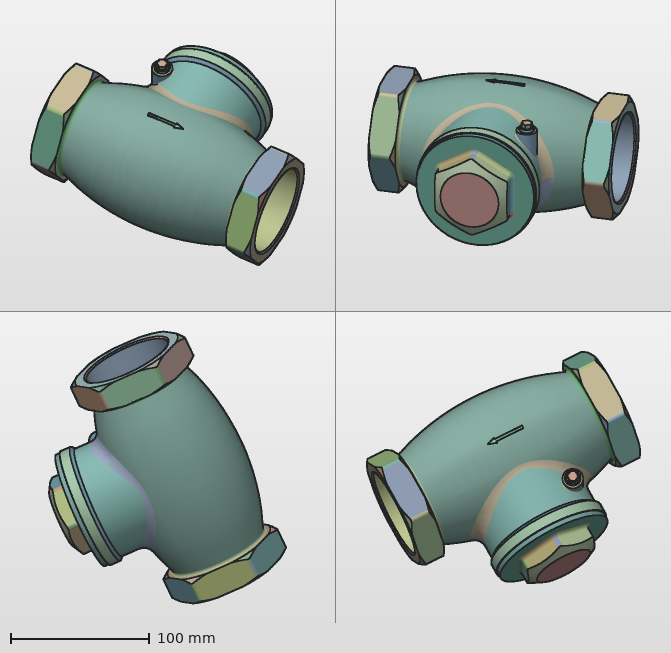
import cadquery as cq
import math

overall_length = 180.0
cap_top_y = 92.9

nut_across_flats = 79.4
nut_width = 20.0
nut_face_diameter = 81.7
nut_corner_radius = 3.0
nut_root_fillet = 1.8
chamfer_angle = 30.0

port_diameter = 65.0
port_mouth_diameter = 67.3
port_depth = 21.0

barrel_radius = 49.3
barrel_end_radius = 35.3
barrel_half_length = overall_length / 2 - nut_width

bonnet_diameter = 85.0
bonnet_blend_radius = 9.5
collar_diameter = 90.0
collar_top_y = 73.8
collar_height = 8.0
collar_chamfer = (collar_diameter - bonnet_diameter) / 2

screw_x = -30.8
screw_y = 48.8
boss_diameter = 15.0
boss_top_z = 39.0
boss_root_fillet = 0.7
washer_diameter = 11.5
washer_top_z = 41.5
washer_edge_bulge = 0.7
screw_head_across_corners = 8.1
screw_head_top_z = 45.0

arrow_top_z = 49.5
arrow_tail_x = -15.7
arrow_head_x = 6.5
arrow_tip_x = 13.0
arrow_shaft_width = 2.2
arrow_head_width = 4.5
arrow_root_z = 45.7

cap_flange_diameter = 88.0
cap_flange_top_y = 77.8
cap_across_flats = 54.0
cap_corner_radius = 3.0
cap_face_diameter = 43.5
cap_root_fillet = 3.0

selection_margin = 0.5


def across_corners(across_flats):
    return across_flats / math.cos(math.radians(30))


def corner_chamfer_depth(across_flats, face_diameter):
    """Axial depth at which the chamfer cone reaches the sharp corners of a hexagon."""
    radial = (across_corners(across_flats) - face_diameter) / 2
    return radial * math.tan(math.radians(chamfer_angle))


def end_nut():
    """Hexagon on the -X end, with rounded corners and chamfered on both faces."""
    corner_radius = across_corners(nut_across_flats) / 2
    face_radius = nut_face_diameter / 2
    depth = corner_chamfer_depth(nut_across_flats, nut_face_diameter)
    outer_x = -overall_length / 2
    inner_x = outer_x + nut_width
    prism = (
        cq.Workplane("YZ", origin=(outer_x, 0, 0))
        .polygon(6, 2 * corner_radius)
        .extrude(nut_width)
        .edges("|X")
        .fillet(nut_corner_radius)
    )
    envelope = (
        cq.Workplane("XY")
        .moveTo(outer_x, 0)
        .lineTo(outer_x, face_radius)
        .lineTo(outer_x + depth, corner_radius)
        .lineTo(inner_x - depth, corner_radius)
        .lineTo(inner_x, face_radius)
        .lineTo(inner_x, 0)
        .close()
        .revolve(360, (0, 0, 0), (1, 0, 0))
    )
    return prism.intersect(envelope)


def barrel():
    return (
        cq.Workplane("XY")
        .moveTo(-barrel_half_length, 0)
        .lineTo(-barrel_half_length, barrel_end_radius)
        .threePointArc((0, barrel_radius), (barrel_half_length, barrel_end_radius))
        .lineTo(barrel_half_length, 0)
        .close()
        .revolve(360, (0, 0, 0), (1, 0, 0))
    )


def bonnet_neck():
    return cq.Workplane("XZ").circle(bonnet_diameter / 2).extrude(-collar_top_y)


def bonnet_collar():
    """Ring at the mouth of the bonnet, chamfered down to the neck."""
    neck_radius = bonnet_diameter / 2
    collar_radius = collar_diameter / 2
    shoulder_y = collar_top_y - collar_height
    chamfer_y = shoulder_y - collar_chamfer
    return (
        cq.Workplane("XY")
        .moveTo(0, chamfer_y)
        .lineTo(neck_radius, chamfer_y)
        .lineTo(collar_radius, shoulder_y)
        .lineTo(collar_radius, collar_top_y)
        .lineTo(0, collar_top_y)
        .close()
        .revolve(360, (0, 0, 0), (0, 1, 0))
    )


def screw_boss():
    return cq.Workplane("XY", origin=(screw_x, screw_y, 0)).circle(boss_diameter / 2).extrude(boss_top_z)


def stop_screw():
    """Rounded washer and hexagon head standing on the boss."""
    thickness = washer_top_z - boss_top_z
    rim_radius = washer_diameter / 2
    face_radius = rim_radius - washer_edge_bulge
    washer = (
        cq.Workplane("XZ", origin=(screw_x, screw_y, boss_top_z))
        .lineTo(face_radius, 0)
        .threePointArc((rim_radius, thickness / 2), (face_radius, thickness))
        .lineTo(0, thickness)
        .close()
        .revolve(360, (0, 0, 0), (0, 1, 0))
    )
    head = (
        cq.Workplane("XY", origin=(screw_x, screw_y, boss_top_z))
        .transformed(rotate=(0, 0, 90))
        .polygon(6, screw_head_across_corners)
        .extrude(screw_head_top_z - boss_top_z)
    )
    return washer.union(head)


def flow_arrow():
    shaft = arrow_shaft_width / 2
    head = arrow_head_width / 2
    return (
        cq.Workplane("XY", origin=(0, 0, arrow_root_z))
        .polyline([
            (arrow_tail_x, -shaft),
            (arrow_head_x, -shaft),
            (arrow_head_x, -head),
            (arrow_tip_x, 0),
            (arrow_head_x, head),
            (arrow_head_x, shaft),
            (arrow_tail_x, shaft),
        ])
        .close()
        .extrude(arrow_top_z - arrow_root_z)
    )


def port():
    """Blind bore from the -X end, with a chamfered mouth."""
    bore_radius = port_diameter / 2
    mouth_radius = port_mouth_diameter / 2
    outer_x = -overall_length / 2
    return (
        cq.Workplane("XY")
        .moveTo(outer_x, 0)
        .lineTo(outer_x, mouth_radius)
        .lineTo(outer_x + mouth_radius - bore_radius, bore_radius)
        .lineTo(outer_x + port_depth, bore_radius)
        .lineTo(outer_x + port_depth, 0)
        .close()
        .revolve(360, (0, 0, 0), (1, 0, 0))
    )


def saddle_edges():
    """Selects the curve where the bonnet neck meets the barrel."""
    return cq.selectors.BoxSelector(
        (-bonnet_diameter / 2, 0, -barrel_radius),
        (bonnet_diameter / 2, collar_top_y - collar_height, barrel_radius),
    )


def boss_root_edges():
    """Selects the curve where the screw boss meets the bonnet."""
    reach = boss_diameter / 2 + selection_margin
    return cq.selectors.BoxSelector(
        (screw_x - reach, screw_y - reach, selection_margin),
        (screw_x + reach, screw_y + reach, boss_top_z - selection_margin),
        boundingbox=True,
    )


def nut_root_edges(x):
    """Selects the circle at the given X where the barrel meets an end hexagon."""
    reach = barrel_end_radius + selection_margin
    return cq.selectors.BoxSelector(
        (x - selection_margin, -reach, -reach),
        (x + selection_margin, reach, reach),
        boundingbox=True,
    )


def cap_root_edges():
    """Selects the outline where the cap hexagon stands on its flange."""
    reach = across_corners(cap_across_flats) / 2
    return cq.selectors.BoxSelector(
        (-reach, cap_flange_top_y - selection_margin, -reach),
        (reach, cap_flange_top_y + selection_margin, reach),
        boundingbox=True,
    )


def build_housing():
    body = barrel().union(bonnet_neck())
    body = body.edges(saddle_edges()).fillet(bonnet_blend_radius)
    body = body.union(screw_boss())
    body = body.edges(boss_root_edges()).fillet(boss_root_fillet)
    body = body.union(end_nut()).union(end_nut().mirror("YZ"))
    for x in (-barrel_half_length, barrel_half_length):
        body = body.edges(nut_root_edges(x)).fillet(nut_root_fillet)
    body = body.union(bonnet_collar()).union(stop_screw()).union(flow_arrow())
    return body.cut(port()).cut(port().mirror("YZ"))


def build_cap():
    """Flanged cap whose hexagon is chamfered on top and filleted at its root."""
    corner_radius = across_corners(cap_across_flats) / 2
    depth = corner_chamfer_depth(cap_across_flats, cap_face_diameter)
    flange = (
        cq.Workplane("XZ", origin=(0, collar_top_y, 0))
        .circle(cap_flange_diameter / 2)
        .extrude(collar_top_y - cap_flange_top_y)
    )
    hexagon = (
        cq.Workplane("XZ", origin=(0, collar_top_y, 0))
        .transformed(rotate=(0, 0, 90))
        .polygon(6, 2 * corner_radius)
        .extrude(collar_top_y - cap_top_y)
        .edges("|Y")
        .fillet(cap_corner_radius)
    )
    envelope = (
        cq.Workplane("XY")
        .moveTo(0, collar_top_y)
        .lineTo(corner_radius, collar_top_y)
        .lineTo(corner_radius, cap_top_y - depth)
        .lineTo(cap_face_diameter / 2, cap_top_y)
        .lineTo(0, cap_top_y)
        .close()
        .revolve(360, (0, 0, 0), (0, 1, 0))
    )
    cap = flange.union(hexagon.intersect(envelope))
    return cap.edges(cap_root_edges()).fillet(cap_root_fillet)


housing = build_housing()
cap = build_cap()
result = cq.Compound.makeCompound([housing.val(), cap.val()])